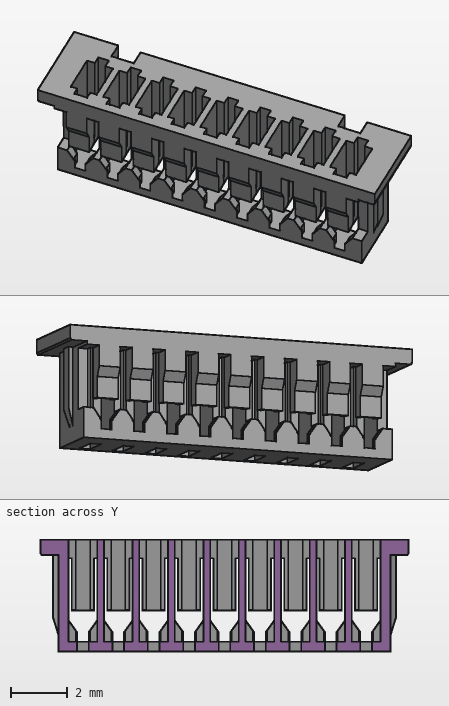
import cadquery as cq

length = 13.0
depth = 3.2
height = 3.95
flange_thickness = 0.55
flange_bottom = height - flange_thickness
chamfer_height = 0.06
chamfer_width = 0.048

body_length = 11.73
body_back = 2.6
base_front = 0.3
base_top = 1.09
wall_front = 0.83
tab_top = 3.29

contact_count = 9
contact_row_length = 10.0
pitch = contact_row_length / (contact_count - 1)
cavity_width = 1.0
cavity_front = 0.62
cavity_back = 2.05
cavity_floor = 0.35
key_width = 0.51
key_front = 0.35
window_width = 0.4
window_front = 1.34
window_back = 2.37

tab_width = 0.79
tab_tip_front = 0.2
tab_step_top = 2.55
tab_step_bottom = 2.2
tab_tip_front_z = 1.44
tab_tip_back_z = 1.48

flare_bottom = 0.68

rail_projection = 0.2
rail_front = 1.26
rail_width = 0.47
rail_taper_top = 1.21
rail_taper_bottom = 0.58
rail_undercut = 0.08

latch_offset = 4.4
latch_width = 0.68
latch_top = 1.48
latch_bottom = 0.58
latch_projection = 0.31
notch_offset = 4.37
notch_width = 0.86


def block(x_center, x_size, y_min, y_max, z_min, z_max):
    """Box centred on x_center and spanning the given Y and Z limits."""
    size = (x_size, y_max - y_min, z_max - z_min)
    return cq.Workplane("XY").box(*size, centered=(True, False, False)).translate((x_center, y_min, z_min))


def side_prism(x_center, x_size, outline):
    """Prism along X with a (Y, Z) outline, centred on x_center."""
    prism = cq.Workplane("YZ").polyline(outline).close().extrude(x_size / 2, both=True)
    return prism.translate((x_center, 0, 0))


def end_prism(y_min, y_max, outline):
    """Prism along Y with an (X, Z) outline, spanning the given Y limits."""
    return cq.Workplane("XZ").polyline(outline).close().extrude(y_min - y_max).translate((0, y_min, 0))


def make_flange():
    """Flange plate with the lower edges of both ends chamfered."""
    outline = [
        (-length / 2, height),
        (-length / 2, flange_bottom + chamfer_height),
        (chamfer_width - length / 2, flange_bottom),
        (length / 2 - chamfer_width, flange_bottom),
        (length / 2, flange_bottom + chamfer_height),
        (length / 2, height),
    ]
    return end_prism(0, depth, outline)


def make_body():
    """Flange, back part of the housing and the low base in front of it."""
    tab_root = block(0, body_length, 0, body_back, tab_top, flange_bottom)
    wall = block(0, body_length, wall_front, body_back, 0, tab_top)
    base = block(0, body_length, base_front, wall_front, 0, base_top)
    return make_flange().union(tab_root).union(wall).union(base)


def make_tab(x):
    """Tab hanging from the body, stepped back to a thinner tip."""
    outline = [
        (0, tab_top),
        (0, tab_step_top),
        (tab_tip_front, tab_step_bottom),
        (tab_tip_front, tab_tip_front_z),
        (cavity_front, tab_tip_back_z),
        (cavity_front, tab_top),
    ]
    return side_prism(x, tab_width, outline)


def make_cavity(x):
    """Contact pocket with a key groove in its tab and a window through the underside."""
    pocket = block(x, cavity_width, cavity_front, cavity_back, cavity_floor, height)
    key = block(x, key_width, key_front, cavity_front, cavity_floor, height)
    window = block(x, window_width, window_front, window_back, 0, height)
    return pocket.union(key).union(window)


def make_flared_entry(x):
    """Slot through the front lip of the base, flaring out towards its top."""
    outline = [
        (-window_width / 2, cavity_floor),
        (window_width / 2, cavity_floor),
        (window_width / 2, flare_bottom),
        (cavity_width / 2, base_top),
        (-cavity_width / 2, base_top),
        (-window_width / 2, flare_bottom),
    ]
    return end_prism(base_front, cavity_front, outline).translate((x, 0, 0))


def make_left_rail():
    """Dovetail rail, wider at its outer face, with a sloping lower end."""
    root_x = -body_length / 2
    outer_x = root_x - rail_projection
    rail = (
        cq.Workplane("XY")
        .polyline(
            [
                (outer_x, rail_front),
                (root_x, rail_front + rail_undercut),
                (root_x, rail_front + rail_width - rail_undercut),
                (outer_x, rail_front + rail_width),
            ]
        )
        .close()
        .extrude(flange_bottom)
    )
    below_slope = [
        (outer_x, 0),
        (outer_x, rail_taper_top),
        (root_x, rail_taper_bottom),
        (root_x, 0),
    ]
    return rail.cut(end_prism(0, depth, below_slope))


def make_latch(x):
    """Wedge on the back wall with a flat top and a tapering lower side."""
    outline = [
        (body_back, latch_bottom),
        (body_back + latch_projection, latch_top),
        (body_back, latch_top),
    ]
    return side_prism(x, latch_width, outline)


result = make_body()

left_rail = make_left_rail()
result = result.union(left_rail).union(left_rail.mirror("YZ"))

for side in (-1, 1):
    result = result.union(make_latch(side * latch_offset))
    result = result.cut(block(side * notch_offset, notch_width, body_back, depth, flange_bottom, height))

for index in range(contact_count):
    contact_x = -contact_row_length / 2 + index * pitch
    result = result.union(make_tab(contact_x))
    result = result.cut(make_cavity(contact_x))
    result = result.cut(make_flared_entry(contact_x))